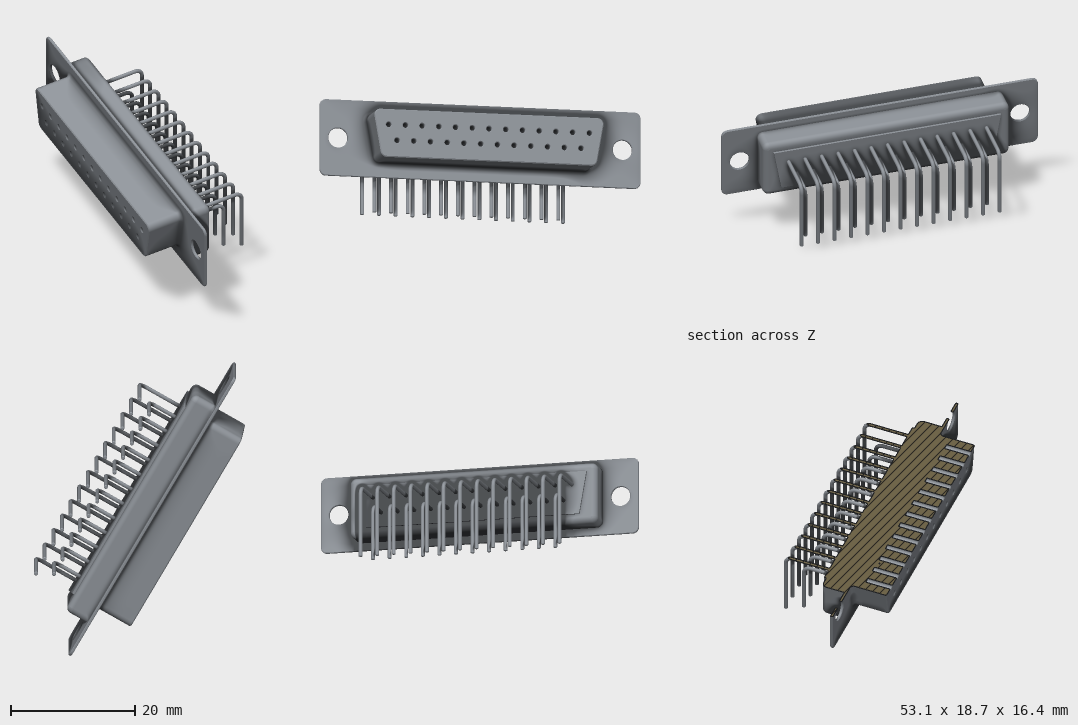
import cadquery as cq
import math


FLANGE_LENGTH = 53.1
FLANGE_HEIGHT = 12.5
FLANGE_THICKNESS = 0.5
FLANGE_CORNER_RADIUS = 1.0
MOUNTING_HOLE_DIAMETER = 3.2
MOUNTING_HOLE_SPACING = 47.1
FLANGE_EDGE_CHAMFER = 0.1

CORNER_RADIUS = 1.0

SIDE_SLOPE = math.radians(10)

SHELL_HALF_WIDTH = 18.5
SHELL_HEIGHT = 7.85
SHELL_DEPTH = 6.1
SHELL_EDGE_CHAMFER = 0.15
SHELL_BASE_RADIUS = 0.6

HOUSING_WIDTH = 41.3
HOUSING_HEIGHT = 9.95
HOUSING_REAR = 4.4
HOUSING_EDGE_RADIUS = 0.9

PAD_HALF_WIDTH = 18.4
PAD_HEIGHT = 7.0
PAD_REAR = 4.8

CONTACT_SPAN = 33.25
ROW_SPACING = 2.55
ROWS_CENTRE_Z = 0.1
UPPER_ROW_COUNT = 13
CONTACT_PITCH = CONTACT_SPAN / (UPPER_ROW_COUNT - 1)
SOCKET_DIAMETER = 0.85
SOCKET_DEPTH = 4.25
SOCKET_CHAMFER = 0.1

PIN_DIAMETER = 0.65
PIN_BEND_RADIUS = 1.3
PIN_TIP_CHAMFER = 0.1
PIN_DROP = 3.95
PIN_BOTTOM = -FLANGE_HEIGHT / 2 - PIN_DROP
PIN_REAR = 12.55

UPPER_LEG_Y = PIN_REAR - PIN_DIAMETER / 2
CONTACT_ROWS = [
    (ROWS_CENTRE_Z + ROW_SPACING / 2, UPPER_ROW_COUNT, UPPER_LEG_Y),
    (ROWS_CENTRE_Z - ROW_SPACING / 2, UPPER_ROW_COUNT - 1, UPPER_LEG_Y - ROW_SPACING),
]


def plane_at(y):
    """XZ sketch plane at the given Y, with extrusion towards +Y."""
    return cq.Workplane(cq.Plane(origin=(0, y, 0), xDir=(-1, 0, 0), normal=(0, 1, 0)))


def d_block(half_width, height, y_start, y_end, corner_radius=0):
    """D-shaped prism along Y with its wide side up; a corner radius of 0 keeps it sharp."""
    top = height / 2
    lean = top * math.tan(SIDE_SLOPE)
    corners = [
        (-half_width - lean, top),
        (half_width + lean, top),
        (half_width - lean, -top),
        (-half_width + lean, -top),
    ]
    block = plane_at(y_start).polyline(corners).close().extrude(y_end - y_start)
    if corner_radius > 0:
        block = block.edges("|Y").fillet(corner_radius)
    return block


def flange():
    """Plate with two mounting holes and chamfered edges."""
    plate = plane_at(0).rect(FLANGE_LENGTH, FLANGE_HEIGHT).extrude(FLANGE_THICKNESS)
    plate = plate.edges("|Y").fillet(FLANGE_CORNER_RADIUS)
    hole_x = MOUNTING_HOLE_SPACING / 2
    holes = plane_at(0).pushPoints([(-hole_x, 0), (hole_x, 0)])
    plate = plate.cut(holes.circle(MOUNTING_HOLE_DIAMETER / 2).extrude(FLANGE_THICKNESS))
    return plate.faces("<Y or >Y").edges().chamfer(FLANGE_EDGE_CHAMFER)


def flange_with_shell():
    """Flange and front shell, blended where they meet."""
    shell = d_block(SHELL_HALF_WIDTH, SHELL_HEIGHT, -SHELL_DEPTH, 0, CORNER_RADIUS)
    shell = shell.faces("<Y").edges().chamfer(SHELL_EDGE_CHAMFER)
    joined = flange().union(shell)
    reach_x = MOUNTING_HOLE_SPACING / 2 - MOUNTING_HOLE_DIAMETER / 2
    reach_y = SHELL_BASE_RADIUS / 4
    reach_z = SHELL_HEIGHT / 2 + SHELL_BASE_RADIUS
    base_edges = cq.selectors.BoxSelector((-reach_x, -reach_y, -reach_z), (reach_x, reach_y, reach_z))
    return joined.edges(base_edges).fillet(SHELL_BASE_RADIUS)


def rear_housing():
    """Rounded box behind the flange, with the pad standing out of it."""
    depth = HOUSING_REAR - FLANGE_THICKNESS
    housing = plane_at(FLANGE_THICKNESS).rect(HOUSING_WIDTH, HOUSING_HEIGHT).extrude(depth)
    housing = housing.edges("|Y").fillet(CORNER_RADIUS)
    housing = housing.faces(">Y").edges().fillet(HOUSING_EDGE_RADIUS)
    return housing.union(d_block(PAD_HALF_WIDTH, PAD_HEIGHT, FLANGE_THICKNESS, PAD_REAR))


def row_positions(count):
    """X of each contact in a row centred on X = 0."""
    return [(i - (count - 1) / 2) * CONTACT_PITCH for i in range(count)]


def bent_pin(row_z, leg_y):
    """Pin at X = 0 leaving the pad along +Y and bending down to the board."""
    bend = PIN_BEND_RADIUS
    diagonal = bend * math.sqrt(0.5)
    centre_y = leg_y - bend
    centre_z = row_z - bend
    path = (
        cq.Workplane("YZ")
        .moveTo(HOUSING_REAR, row_z)
        .lineTo(centre_y, row_z)
        .threePointArc((centre_y + diagonal, centre_z + diagonal), (leg_y, centre_z))
        .lineTo(leg_y, PIN_BOTTOM)
    )
    section = plane_at(HOUSING_REAR).center(0, row_z).circle(PIN_DIAMETER / 2)
    return section.sweep(path).faces("<Z").chamfer(PIN_TIP_CHAMFER)


def socket_cutter(row_z):
    """Blind contact hole at X = 0 with a chamfered mouth, as a solid to cut away."""
    radius = SOCKET_DIAMETER / 2
    bore = plane_at(-SHELL_DEPTH).center(0, row_z).circle(radius).extrude(SOCKET_DEPTH)
    mouth = (
        plane_at(-SHELL_DEPTH)
        .center(0, row_z)
        .circle(radius + SOCKET_CHAMFER)
        .workplane(offset=SOCKET_CHAMFER)
        .circle(radius)
        .loft()
    )
    return bore.union(mouth)


body = flange_with_shell().union(rear_housing())

for row_z, count, leg_y in CONTACT_ROWS:
    socket = socket_cutter(row_z)
    pin = bent_pin(row_z, leg_y)
    for x in row_positions(count):
        body = body.cut(socket.translate((x, 0, 0)))
        body = body.union(pin.translate((x, 0, 0)))

result = body